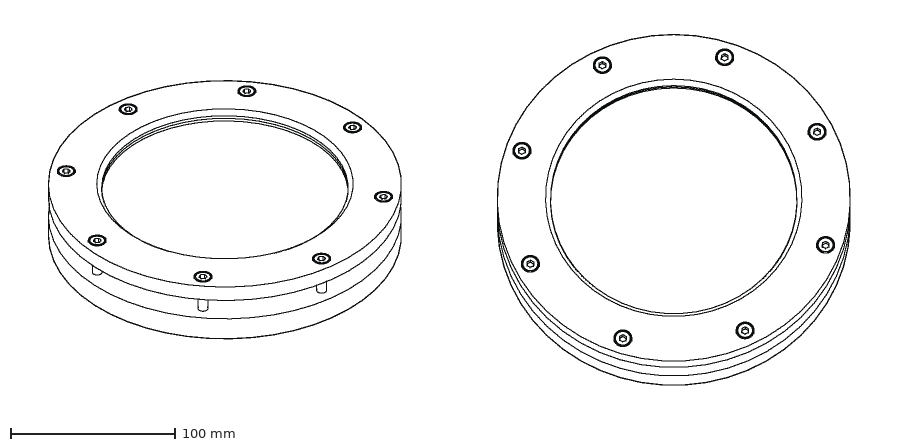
import cadquery as cq
import math

flange_diameter = 215.0
total_height = 39.0
base_height = 15.0
cover_height = 10.0
cover_bottom = total_height - cover_height

opening_diameter = 150.0
opening_chamfer = 3.0
lip_height = 5.0

disc_diameter = 175.0
gasket_height = 2.0
lip_bottom = total_height - lip_height
disc_top = lip_bottom - gasket_height

screw_count = 8
screw_circle_diameter = 195.0
shank_diameter = 6.0
head_diameter = 10.0
head_height = 6.0
head_chamfer = 0.54
counterbore_diameter = 11.0
socket_flats = 4.0
socket_depth = 3.0
socket_tip_angle = 120.0
head_bottom = total_height - head_height


def cylinder(diameter, bottom, top):
    return cq.Workplane("XY").workplane(offset=bottom).circle(diameter / 2).extrude(top - bottom)


def at_screws(body):
    """Eight copies of a body that stands on the Z axis, moved to the screw places."""
    copies = []
    for i in range(screw_count):
        angle = 2 * math.pi * i / screw_count
        x = screw_circle_diameter / 2 * math.cos(angle)
        y = screw_circle_diameter / 2 * math.sin(angle)
        copies.append(body.translate((x, y, 0)))
    return copies


def make_socket():
    """Hexagonal socket with a conical bottom, corners toward +X and -X."""
    corner_diameter = socket_flats / math.cos(math.pi / 6)
    floor = total_height - socket_depth
    hexagon = cq.Workplane("XY").workplane(offset=floor).polygon(6, corner_diameter).extrude(socket_depth)
    tip_radius = socket_flats / 2
    tip_depth = tip_radius / math.tan(math.radians(socket_tip_angle / 2))
    tip = cq.Solid.makeCone(tip_radius, 0, tip_depth, cq.Vector(0, 0, floor), cq.Vector(0, 0, -1))
    return hexagon.union(cq.Workplane(tip))


def make_screw():
    """Shank from the top of the base up to the head, which is flush with the cover."""
    head = cylinder(head_diameter, head_bottom, total_height)
    head = head.faces(">Z").edges().chamfer(head_chamfer)
    shank = cylinder(shank_diameter, base_height, head_bottom)
    return shank.union(head).cut(make_socket())


def make_base():
    """Bottom flange in one piece with its eight screws."""
    base = cylinder(flange_diameter, 0, base_height)
    for screw in at_screws(make_screw()):
        base = base.union(screw)
    return base


def make_cover():
    """Top flange with a chamfered opening, a recess below its lip and counterbored screw holes."""
    cover = cylinder(flange_diameter, cover_bottom, total_height)
    cover = cover.cut(cylinder(opening_diameter, cover_bottom, total_height))
    cover = cover.faces(">Z").edges(cq.selectors.RadiusNthSelector(0)).chamfer(opening_chamfer)
    cover = cover.cut(cylinder(disc_diameter, cover_bottom, lip_bottom))
    hole = cylinder(shank_diameter, cover_bottom, head_bottom)
    hole = hole.union(cylinder(counterbore_diameter, head_bottom, total_height))
    for screw_hole in at_screws(hole):
        cover = cover.cut(screw_hole)
    return cover


def make_gasket():
    """Flat ring between the disc and the lip of the cover."""
    ring = cylinder(disc_diameter, disc_top, lip_bottom)
    return ring.cut(cylinder(opening_diameter, disc_top, lip_bottom))


def make_disc():
    """Plain disc that closes the opening and stands on the base."""
    return cylinder(disc_diameter, base_height, disc_top)


base = make_base()
cover = make_cover()
gasket = make_gasket()
disc = make_disc()

result = cq.Compound.makeCompound([base.val(), cover.val(), gasket.val(), disc.val()])